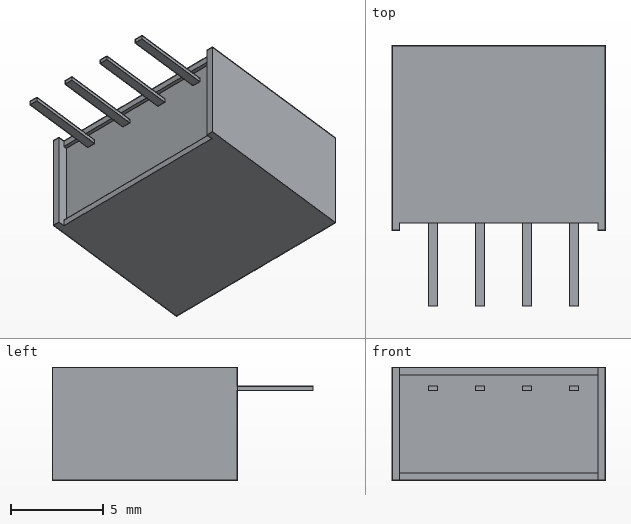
import cadquery as cq

case_width = 11.53
case_length = 10.0
case_height = 6.1
wall = 0.4
rim_setback = 0.4
potting_depth = 0.2

pin_count = 4
pin_pitch = 2.54
pin_width = 0.5
pin_thickness = 0.25
pin_projection = 4.1
pin_row_offset = 0.255
pin_drop = 1.13

inner_width = case_width - 2 * wall
inner_height = case_height - 2 * wall
potting_y = rim_setback + potting_depth


def make_case():
    """Case with its front edge at Y = 0, filled up to the potting face."""
    block = cq.Workplane("XY").box(case_width, case_length, case_height, centered=(True, False, True))
    rim_cut = cq.Workplane("XY").box(inner_width, rim_setback, case_height, centered=(True, False, True))
    recess = cq.Workplane("XY").box(inner_width, potting_y, inner_height, centered=(True, False, True))
    return block.cut(rim_cut).cut(recess)


def make_pin(x):
    """Flat lead rooted in the potting face."""
    z = case_height / 2 - pin_drop
    pin_length = pin_projection + potting_y
    pin = cq.Workplane("XY").box(pin_width, pin_length, pin_thickness, centered=(True, False, True))
    return pin.translate((x, -pin_projection, z))


result = make_case()
for index in range(pin_count):
    pin_x = pin_row_offset + (index - (pin_count - 1) / 2) * pin_pitch
    result = result.union(make_pin(pin_x))